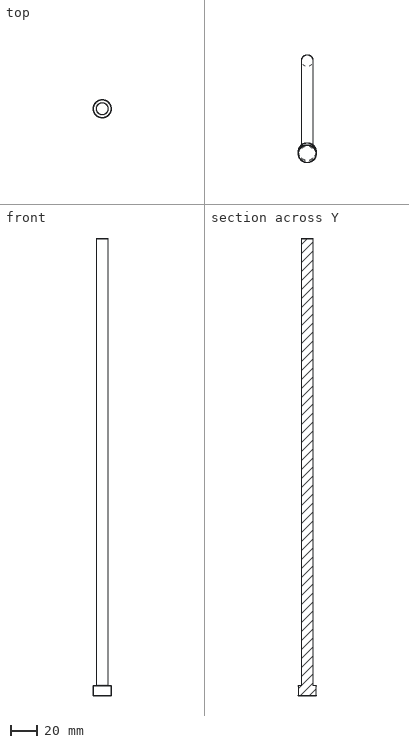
import cadquery as cq

overall_length = 350.0
shank_diameter = 9.0
head_diameter = 14.0
head_height = 8.0
rim_chamfer = 0.3
neck_fillet_radius = 0.3

shank_length = overall_length - head_height


def make_head():
    """Cylindrical head with both rims chamfered."""
    head = cq.Workplane("XY").circle(head_diameter / 2).extrude(head_height)
    return head.faces("<Z or >Z").edges().chamfer(rim_chamfer)


def add_shank(head):
    """Plain round shank standing centred on top of the head."""
    return head.faces(">Z").workplane().circle(shank_diameter / 2).extrude(shank_length)


def fillet_neck(pin):
    """Round the inner corner where the shank meets the head."""
    head_top_face = pin.faces("+Z").faces("<Z")
    neck_edge = head_top_face.edges(cq.selectors.RadiusNthSelector(0))
    return neck_edge.fillet(neck_fillet_radius)


result = fillet_neck(add_shank(make_head()))